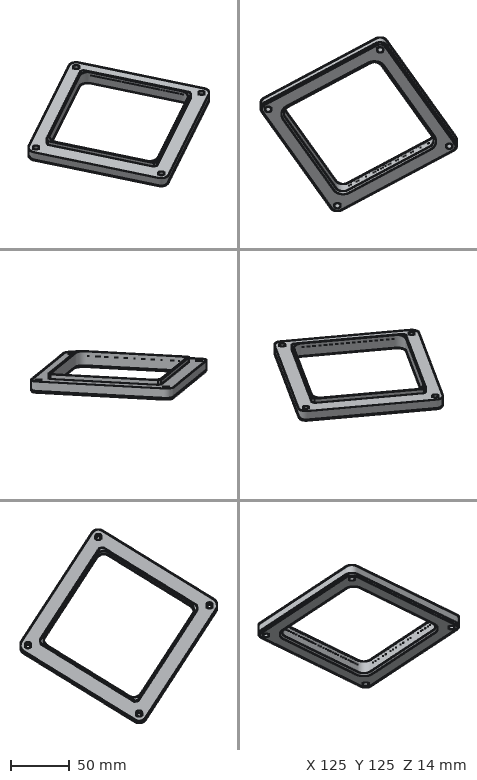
import cadquery as cq

base_side = 125.0
base_corner_radius = 6.5
total_height = 14.01
rim_height = 4.0
base_height = total_height - rim_height

opening_side = 96.8
opening_corner_radius = 7.5

rim_wall = 1.05
rim_side = opening_side + 2 * rim_wall
rim_corner_chamfer = 2.2

bevel_height = 1.8
outer_bevel_width = 1.15
inner_bevel_width = 2.0

hole_diameter = 5.3
hole_spacing = base_side - 2 * base_corner_radius


def rounded_square(side, corner_radius):
    """Face of a square with rounded corners, centred on the Z axis at Z = 0."""
    return cq.Sketch().rect(side, side).vertices().fillet(corner_radius)


def tapered_square(bottom_side, bottom_radius, top_side, top_radius, height):
    """Solid between two rounded squares, the lower one at Z = 0."""
    bottom = rounded_square(bottom_side, bottom_radius)
    top = rounded_square(top_side, top_radius).moved(cq.Location(cq.Vector(0, 0, height)))
    return cq.Workplane("XY").placeSketch(bottom, top).loft()


def make_base():
    """Plate whose outer bottom edge is bevelled."""
    plate = cq.Workplane("XY").placeSketch(rounded_square(base_side, base_corner_radius))
    plate = plate.extrude(base_height)
    return plate.faces("<Z").edges().chamfer(bevel_height, outer_bevel_width)


def make_rim():
    """Block from the bottom of the base up to the rim top, with chamfered corners."""
    block = cq.Workplane("XY").rect(rim_side, rim_side).extrude(total_height)
    return block.edges("|Z").chamfer(rim_corner_chamfer)


def make_opening():
    """Straight opening that flares out at its bottom edge."""
    opening = cq.Workplane("XY").placeSketch(rounded_square(opening_side, opening_corner_radius))
    opening = opening.extrude(total_height)
    flare = tapered_square(
        opening_side + 2 * inner_bevel_width,
        opening_corner_radius + inner_bevel_width,
        opening_side,
        opening_corner_radius,
        bevel_height,
    )
    return opening.union(flare)


def make_holes():
    centres = cq.Workplane("XY").rect(hole_spacing, hole_spacing, forConstruction=True).vertices()
    return centres.circle(hole_diameter / 2).extrude(base_height)


result = make_base().union(make_rim()).cut(make_opening()).cut(make_holes())